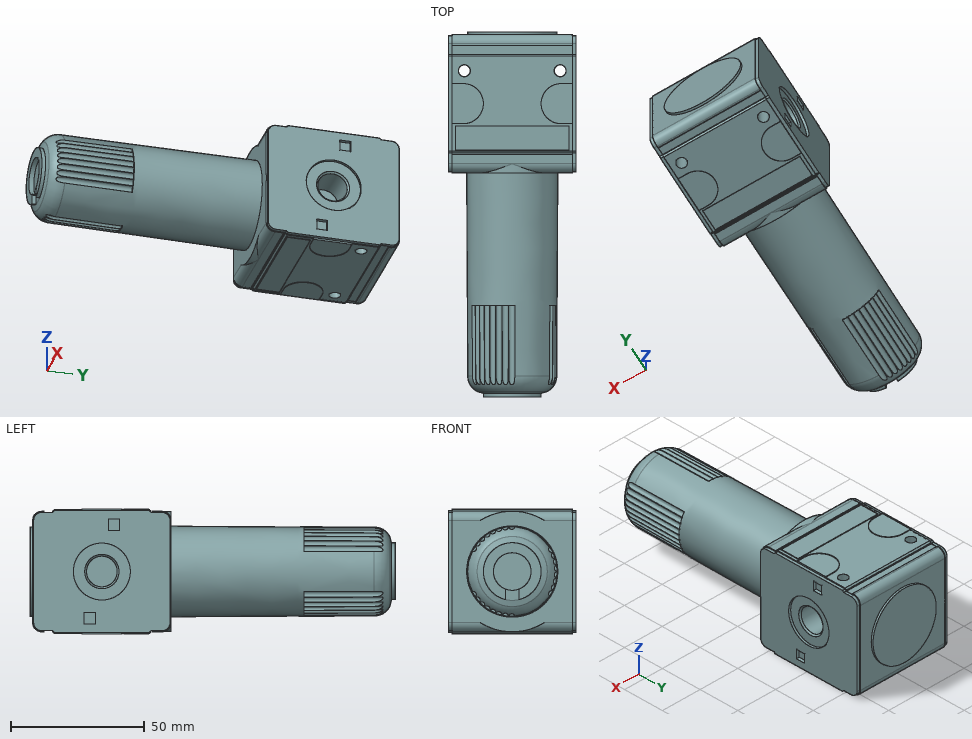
import cadquery as cq
import math


overall_length = 137.0

core_width = 45.1
cap_thickness = 1.4
block_length = 51.9
half_height = 22.6
band_rise = 0.62
band_half_length = 17.8
band_slope_end = 18.5
corner_radius = 3.4
cap_inset = 0.4
block_half_length = block_length / 2
band_half_height = half_height + band_rise

groove_depth = 0.5
back_groove_end = 21.8
front_groove_end = 19.0

pad_height = 0.3
mount_hole_diameter = 4.4
mount_hole_x = 18.0
mount_hole_y = 12.3
thumb_pad_radius = 7.5
thumb_pad_x = 18.4
label_width = 42.6
label_front = -17.4
label_back = -8.4

port_diameter = 11.5
port_depth = 13.7
port_chamfer = 0.7
seal_recess_diameter = 21.4
seal_recess_depth = 1.1
key_pocket_size = 4.2
key_pocket_depth = 1.5
key_pocket_y = -4.5
key_pocket_z = 17.5

back_disc_diameter = 33.5
back_disc_height = 1.0

handle_base_radius = 17.1
handle_end_radius = 16.7
shoulder_y = -102.0
rim_y = -108.0
rim_radius = 13.2
end_boss_y = -108.6
end_boss_radius = 10.8
handle_tip_y = block_half_length + back_disc_height - overall_length
end_recess_diameter = 14.1
end_recess_depth = 1.9
key_slot_width = 5.2
key_slot_overlap = 0.3

grip_groups = 3
grooves_per_group = 8
groove_pitch_angle = 8.4
grip_groove_radius = 1.16
grip_axis_radius = 17.0
grip_start_y = -75.8


def block_slab(x_start, x_end, inset):
    """Slab of the block outline, with its corners rounded and every side moved in by inset."""
    half_y = block_half_length - inset
    edge_z = half_height - inset
    band_z = band_half_height - inset
    upper = [
        (-half_y, edge_z),
        (-band_slope_end, edge_z),
        (-band_half_length, band_z),
        (band_half_length, band_z),
        (band_slope_end, edge_z),
        (half_y, edge_z),
    ]
    lower = [(y, -z) for y, z in reversed(upper)]
    slab = cq.Workplane("YZ", origin=(x_start, 0, 0)).polyline(upper + lower).close()
    slab = slab.extrude(x_end - x_start)
    return slab.edges("|X").edges("<Y or >Y").fillet(corner_radius - inset)


def box_between(x_range, y_range, z_range):
    """Box that fills the given ranges."""
    sizes = [high - low for low, high in (x_range, y_range, z_range)]
    return cq.Workplane("XY").box(*sizes, centered=False).translate((x_range[0], y_range[0], z_range[0]))


def y_cylinder(radius, y_start, y_end):
    """Cylinder on the handle axis."""
    return cq.Workplane("XZ", origin=(0, y_start, 0)).circle(radius).extrude(y_start - y_end)


def top_grooves():
    """Grooves in the top face, along the back and front foot of the band."""
    core_x = (-core_width / 2, core_width / 2)
    groove_z = (half_height - groove_depth, half_height)
    back = box_between(core_x, (band_slope_end, back_groove_end), groove_z)
    front = box_between(core_x, (-front_groove_end, -band_slope_end), groove_z)
    return back.union(front)


def top_pads():
    """Low pads on the top face: a label pad, and a round-ended thumb pad at each X side."""
    pad_z = (band_half_height, band_half_height + pad_height)
    pads = box_between((-label_width / 2, label_width / 2), (label_front, label_back), pad_z)
    thumb_y = (-thumb_pad_radius, thumb_pad_radius)
    thumb = box_between((thumb_pad_x, core_width / 2), thumb_y, pad_z)
    round_end = cq.Workplane("XY", origin=(thumb_pad_x, 0, band_half_height)).circle(thumb_pad_radius)
    inside = box_between((0, core_width / 2), thumb_y, pad_z)
    thumb = thumb.union(round_end.extrude(pad_height).intersect(inside))
    return pads.union(thumb).union(thumb.mirror("YZ"))


def port_cuts():
    """Port, seal recess and two key pockets of the -X end cap."""
    face_x = -core_width / 2 - cap_thickness
    cap_face = cq.Workplane("YZ", origin=(face_x, 0, 0))
    seat_x = face_x + seal_recess_depth
    seat = cq.Workplane("YZ", origin=(seat_x, 0, 0))
    cuts = cap_face.circle(seal_recess_diameter / 2).extrude(seal_recess_depth)
    cuts = cuts.union(seat.circle(port_diameter / 2).extrude(port_depth))
    lead_in = cq.Solid.makeCone(
        port_diameter / 2 + port_chamfer, port_diameter / 2, port_chamfer,
        pnt=cq.Vector(seat_x, 0, 0), dir=cq.Vector(1, 0, 0),
    )
    cuts = cuts.union(cq.Workplane(lead_in))
    pocket_centers = [(key_pocket_y, key_pocket_z), (-key_pocket_y, -key_pocket_z)]
    pockets = cap_face.pushPoints(pocket_centers).rect(key_pocket_size, key_pocket_size)
    return cuts.union(pockets.extrude(key_pocket_depth))


def make_housing():
    core_end = core_width / 2
    cap_end = core_end + cap_thickness
    body = block_slab(-core_end, core_end, 0)
    body = body.union(y_cylinder(half_height, -block_half_length + corner_radius, -block_half_length))
    body = body.union(y_cylinder(back_disc_diameter / 2, block_half_length + back_disc_height, 0))

    grooves = top_grooves()
    body = body.cut(grooves).cut(grooves.mirror("XY"))
    pads = top_pads()
    body = body.union(pads).union(pads.mirror("XY"))
    body = body.union(block_slab(-cap_end, -core_end, cap_inset))
    body = body.union(block_slab(core_end, cap_end, cap_inset))

    end_cuts = port_cuts()
    body = body.cut(end_cuts).cut(end_cuts.rotate((0, 0, 0), (0, 0, 1), 180))

    hole_centers = [(-mount_hole_x, mount_hole_y), (mount_hole_x, mount_hole_y)]
    holes = cq.Workplane("XY", origin=(0, 0, -band_half_height)).pushPoints(hole_centers)
    return body.cut(holes.circle(mount_hole_diameter / 2).extrude(2 * band_half_height))


def handle_blank():
    """Slightly tapered grip with a rounded end and a short end boss, turned about Y."""
    radial_run = handle_end_radius - rim_radius
    axial_run = shoulder_y - rim_y
    end_radius = (radial_run**2 + axial_run**2) / (2 * radial_run)
    half_angle = math.atan2(radial_run, axial_run)
    arc_middle = (
        handle_end_radius - end_radius * (1 - math.cos(half_angle)),
        shoulder_y - end_radius * math.sin(half_angle),
    )
    profile = (
        cq.Workplane("XY")
        .moveTo(0, -block_half_length)
        .lineTo(handle_base_radius, -block_half_length)
        .lineTo(handle_end_radius, shoulder_y)
        .threePointArc(arc_middle, (rim_radius, rim_y))
        .lineTo(end_boss_radius, end_boss_y)
        .lineTo(end_boss_radius, handle_tip_y)
        .lineTo(0, handle_tip_y)
        .close()
    )
    return profile.revolve(360, (0, 0, 0), (0, 1, 0))


def grip_grooves():
    """Round grooves along Y, in equal groups around the handle; they run out on its rounded end."""
    centers = []
    for group in range(grip_groups):
        group_angle = group * 360 / grip_groups
        for index in range(grooves_per_group):
            offset = index - (grooves_per_group - 1) / 2
            angle = math.radians(group_angle + offset * groove_pitch_angle)
            centers.append((grip_axis_radius * math.cos(angle), grip_axis_radius * math.sin(angle)))
    grooves = cq.Workplane("XZ", origin=(0, grip_start_y, 0)).pushPoints(centers)
    return grooves.circle(grip_groove_radius).extrude(grip_start_y - handle_tip_y)


def end_cuts_of_handle():
    """Round recess in the handle tip, and a key slot from it through the -Z side of the end boss."""
    recess = y_cylinder(end_recess_diameter / 2, handle_tip_y + end_recess_depth, handle_tip_y)
    slot_half = key_slot_width / 2
    slot = box_between(
        (-slot_half, slot_half),
        (handle_tip_y, end_boss_y),
        (-end_boss_radius, -end_recess_diameter / 2 + key_slot_overlap),
    )
    return recess.union(slot)


def make_handle():
    return handle_blank().cut(grip_grooves()).cut(end_cuts_of_handle())


housing = make_housing()
handle = make_handle()
result = cq.Compound.makeCompound([housing.solids().val(), handle.solids().val()])